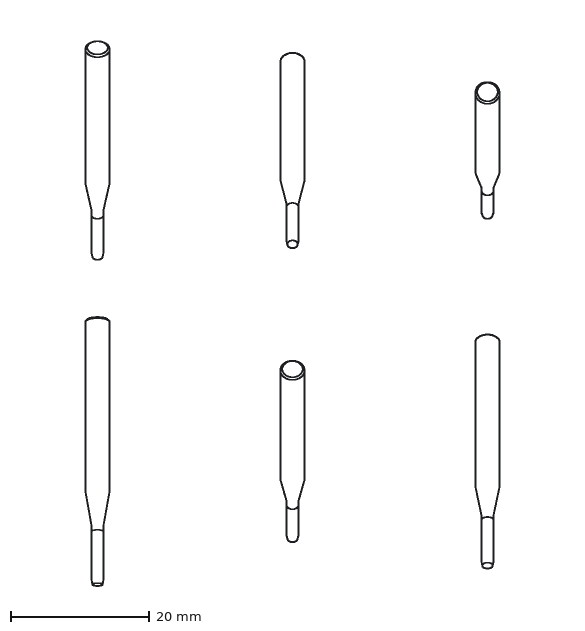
import cadquery as cq

total_length = 40.0
cutter_length = 8.0
neck_length = 1.0
cone_length = 5.05
tip_taper_length = 0.85

shank_diameter = 3.5
neck_diameter = 1.8
tip_diameter = 1.5

top_chamfer_height = 0.3
top_chamfer_width = 0.3

shank_radius = shank_diameter / 2
neck_radius = neck_diameter / 2
tip_radius = tip_diameter / 2
cone_bottom = cutter_length + neck_length
cone_top = cone_bottom + cone_length


def turned_body(outline):
    """Revolve (radius, height) points, from bottom to top, around the Z axis."""
    bottom_height = outline[0][1]
    top_height = outline[-1][1]
    section = [(-radius, height) for radius, height in outline]
    return (
        cq.Workplane("YZ")
        .polyline([(0, bottom_height), *section, (0, top_height)])
        .close()
        .revolve(360, (0, 0), (0, 1))
    )


def make_cutter():
    """Slim cylinder that tapers at its free lower end."""
    return turned_body([
        (tip_radius, 0),
        (neck_radius, tip_taper_length),
        (neck_radius, cutter_length),
    ])


def make_shank():
    """Short neck, cone and long chamfered cylinder, standing on the cutter."""
    return turned_body([
        (neck_radius, cutter_length),
        (neck_radius, cone_bottom),
        (shank_radius, cone_top),
        (shank_radius, total_length - top_chamfer_height),
        (shank_radius - top_chamfer_width, total_length),
    ])


cutter = make_cutter()
shank = make_shank()

result = cq.Compound.makeCompound([cutter.val(), shank.val()])